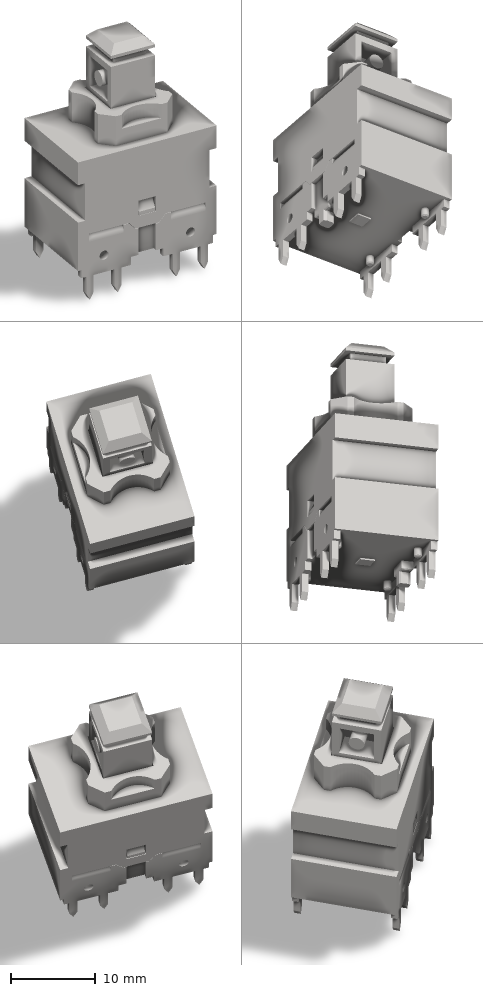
import cadquery as cq
import math

tip_taper_top = 0.9
locator_bottom = 1.72
terminal_shoulder = 3.15
pad_bottom = 4.05
body_bottom = 4.25
lower_step_top = 10.7
flange_bottom = 15.72
body_top = 18.75
collar_top = 22.75
stem_top = 28.25
neck_top = 29.32
cap_rim_top = 29.72
cap_top = 30.7

body_width = 12.8
body_length = 18.8
waist_length = 16.82

collar_size = 10.1
collar_chamfer = 1.57
scoop_chord = 5.37
scoop_depth = 1.2
side_scoop_bottom = 20.88

stem_size = 6.0
stem_clearance = 0.12
neck_size = 4.4
cap_top_size = 4.02
stem_window_width = 4.25
stem_window_bottom = 23.27
stem_window_top = 27.38
stem_window_depth = 2.75
stem_pin_diameter = 1.9

terminal_thickness = 0.8
terminal_inner_end = 2.18
terminal_outer_end = 8.93
terminal_middle = 5.85
bend_bottom = 7.77
bend_radius = 1.07
bend_top = bend_bottom + bend_radius
bend_inner_end = 3.2
bend_outer_end = 7.92
pin_width = 0.98
pin_pitch = 3.8
terminal_hole_diameter = 1.2
terminal_hole_height = 5.43

slot_depth = 0.58
slot_width = 2.43
slot_top = 7.85
latch_window_depth = 0.8
latch_window_bottom = 9.45
latch_window_top = 11.48
latch_ramp_bottom = 9.95
latch_ramp_top = 11.25
latch_gap = 0.12
latch_setback = 0.05

tongue_root_y = 2.5
tongue_tip_y = 1.6
tongue_gap = 0.05

peg_diameter = 0.95
peg_x = 4.97
peg_chamfer = 0.15
locator_inner_x = 4.35
locator_shoulder_width = 3.0
locator_tip_width = 1.3
locator_shoulder_chamfer = 0.12
locator_tip_chamfer = 0.18
locator_tip_outer_bevel = 0.37
pad_size = 1.8
pad_x = -0.35

side_x = body_width / 2
terminal_inner_x = side_x - terminal_thickness


def block(x_range, y_range, z_range):
    """Box spanning the given ranges."""
    size = [high - low for low, high in (x_range, y_range, z_range)]
    corner = (x_range[0], y_range[0], z_range[0])
    return cq.Workplane("XY").box(*size, centered=False).translate(corner)


def centred_block(width, length, bottom, top):
    """Box centred on the Z axis between two levels."""
    return block((-width / 2, width / 2), (-length / 2, length / 2), (bottom, top))


def on_both_sides(shape):
    """The shape joined with its mirror image across the YZ plane."""
    return shape.union(shape.mirror("YZ"))


def on_all_quarters(shape):
    """The shape repeated by mirroring across both vertical mid-planes."""
    return on_both_sides(shape.union(shape.mirror("XZ")))


def make_housing():
    lower = centred_block(body_width, body_length, body_bottom, lower_step_top)
    waist = centred_block(body_width, waist_length, body_bottom, body_top)
    flange = centred_block(body_width, body_length, flange_bottom, body_top)
    return lower.union(waist).union(flange)


def make_collar():
    collar = centred_block(collar_size, collar_size, body_top, collar_top)
    collar = collar.edges("|Z").chamfer(collar_chamfer)
    scoop_radius = ((scoop_chord / 2) ** 2 + scoop_depth**2) / (2 * scoop_depth)
    scoop_offset = collar_size / 2 - scoop_depth + scoop_radius
    for quarter in range(4):
        angle = math.radians(90 * quarter)
        bottom = side_scoop_bottom if quarter % 2 == 0 else body_top
        scoop = (
            cq.Workplane("XY", origin=(0, 0, bottom))
            .center(scoop_offset * math.cos(angle), scoop_offset * math.sin(angle))
            .circle(scoop_radius)
            .extrude(collar_top - bottom)
        )
        collar = collar.cut(scoop)
    opening_size = stem_size + 2 * stem_clearance
    return collar.cut(centred_block(opening_size, opening_size, body_top, collar_top))


def make_stem():
    stem = centred_block(stem_size, stem_size, body_top, stem_top)
    front_y = -stem_size / 2
    half_window = stem_window_width / 2
    pocket_y = (front_y, front_y + stem_window_depth)
    window = block((-half_window, half_window), pocket_y, (stem_window_bottom, stem_window_top))
    pin_height = (stem_window_bottom + stem_window_top) / 2
    pin = (
        cq.Workplane("XZ", origin=(0, front_y, pin_height))
        .circle(stem_pin_diameter / 2)
        .extrude(-stem_window_depth)
    )
    return stem.cut(window).union(pin)


def make_cap():
    neck = centred_block(neck_size, neck_size, stem_top, neck_top)
    rim = centred_block(stem_size, stem_size, neck_top, cap_rim_top)
    slope = (
        cq.Workplane("XY", origin=(0, 0, cap_rim_top))
        .rect(stem_size, stem_size)
        .workplane(offset=cap_top - cap_rim_top)
        .rect(cap_top_size, cap_top_size)
        .loft(ruled=True)
    )
    return neck.union(rim).union(slope)


def make_bend_groove():
    """Space left above the rounded top of one terminal."""
    bend_inner_x = side_x - bend_radius
    diagonal = bend_radius * math.sqrt(0.5)
    return (
        cq.Workplane("XZ", origin=(0, bend_outer_end, 0))
        .moveTo(side_x, bend_bottom)
        .threePointArc((bend_inner_x + diagonal, bend_bottom + diagonal), (bend_inner_x, bend_top))
        .lineTo(side_x, bend_top)
        .close()
        .extrude(bend_outer_end - bend_inner_end)
    )


def make_terminal():
    """Part of one terminal below the housing: a shoulder and two pointed pins."""
    x_range = (terminal_inner_x, side_x)
    terminal = block(x_range, (terminal_inner_end, terminal_outer_end), (terminal_shoulder, body_bottom))
    for direction in (-1, 1):
        pin_y = terminal_middle + direction * pin_pitch / 2
        pin = (
            cq.Workplane("YZ", origin=(terminal_inner_x, pin_y, 0))
            .moveTo(0, 0)
            .lineTo(pin_width / 2, tip_taper_top)
            .lineTo(pin_width / 2, terminal_shoulder)
            .lineTo(-pin_width / 2, terminal_shoulder)
            .lineTo(-pin_width / 2, tip_taper_top)
            .close()
            .extrude(terminal_thickness)
        )
        terminal = terminal.union(pin)
    return terminal


def make_terminal_hole():
    return (
        cq.Workplane("YZ", origin=(terminal_inner_x, terminal_middle, terminal_hole_height))
        .circle(terminal_hole_diameter / 2)
        .extrude(terminal_thickness)
    )


def make_side_recesses():
    """Bottom slot and latch window of one housing side."""
    y_range = (-slot_width / 2, slot_width / 2)
    slot = block((side_x - slot_depth, side_x), y_range, (body_bottom, slot_top))
    window_x_range = (side_x - latch_window_depth, side_x)
    window = block(window_x_range, y_range, (latch_window_bottom, latch_window_top))
    return slot.union(window)


def make_tongue_gap():
    """Half of the thin gap between the tongue and the posts beside the slot."""
    slot_y = slot_width / 2
    return (
        cq.Workplane("YZ", origin=(side_x - slot_depth, 0, 0))
        .moveTo(bend_inner_end, bend_top)
        .lineTo(tongue_root_y, bend_top)
        .lineTo(tongue_tip_y, slot_top)
        .lineTo(slot_y, slot_top)
        .lineTo(slot_y, slot_top - tongue_gap)
        .lineTo(tongue_tip_y, slot_top - tongue_gap)
        .lineTo(tongue_root_y, bend_top - tongue_gap)
        .lineTo(bend_inner_end, bend_top - tongue_gap)
        .close()
        .extrude(slot_depth)
    )


def make_latch():
    """Ramped latch nose inside one latch window."""
    latch_width = slot_width - 2 * latch_gap
    latch_face_x = side_x - latch_setback
    return (
        cq.Workplane("XZ", origin=(0, latch_width / 2, 0))
        .moveTo(side_x - latch_window_depth, latch_window_bottom)
        .lineTo(latch_face_x, latch_window_bottom)
        .lineTo(latch_face_x, latch_ramp_bottom)
        .lineTo(side_x - latch_window_depth, latch_ramp_top)
        .close()
        .extrude(latch_width)
    )


def make_peg():
    return (
        cq.Workplane("XY", origin=(peg_x, terminal_middle, terminal_shoulder))
        .circle(peg_diameter / 2)
        .extrude(body_bottom - terminal_shoulder)
        .faces("<Z")
        .chamfer(peg_chamfer)
    )


def make_locator():
    """Stepped locating tab under the -X side, flush with the slot floor."""
    outer_x = slot_depth - side_x
    x_range = (outer_x, -locator_inner_x)
    half_shoulder = locator_shoulder_width / 2
    shoulder = block(x_range, (-half_shoulder, half_shoulder), (terminal_shoulder, body_bottom))
    shoulder = shoulder.faces("<Z").edges().chamfer(locator_shoulder_chamfer)

    half_tip = locator_tip_width / 2
    flat_half = half_tip - locator_tip_chamfer
    tip = (
        cq.Workplane("XY", origin=(0, 0, locator_bottom))
        .moveTo(outer_x, flat_half)
        .lineTo(outer_x + locator_tip_outer_bevel, half_tip)
        .lineTo(-locator_inner_x - locator_tip_chamfer, half_tip)
        .lineTo(-locator_inner_x, flat_half)
        .lineTo(-locator_inner_x, 0)
        .lineTo(outer_x, 0)
        .close()
        .extrude(body_bottom - locator_bottom)
    )
    return shoulder.union(tip).union(tip.mirror("XZ"))


def make_pad():
    return centred_block(pad_size, pad_size, pad_bottom, body_bottom).translate((pad_x, 0, 0))


result = (
    make_housing()
    .union(make_collar())
    .union(make_stem())
    .union(make_cap())
    .cut(on_all_quarters(make_bend_groove()))
    .cut(on_all_quarters(make_terminal_hole()))
    .cut(on_both_sides(make_side_recesses()))
    .cut(on_all_quarters(make_tongue_gap()))
    .union(on_both_sides(make_latch()))
    .union(on_all_quarters(make_terminal()))
    .union(on_all_quarters(make_peg()))
    .union(make_locator())
    .union(make_pad())
)